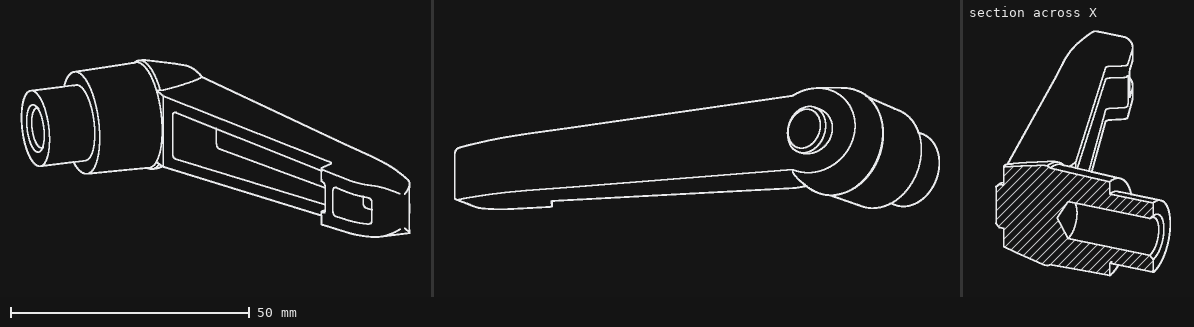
import cadquery as cq
import math


spigot_radius = 8.0
spigot_length = 10.2
sleeve_bottom_radius = 10.8
sleeve_top_radius = 11.15
sleeve_mid_radius = 10.95
collar_radius = 11.5
collar_bottom = 24.15
collar_bevel_top = 24.85
collar_top = 25.7
dome_mid_radius = 10.75
dome_mid_height = 29.2
dome_top_radius = 8.6
dome_top = 37.0

bore_radius = 8.38 / 2
bore_mouth_radius = 5.0
bore_depth = 20.0
drill_tip_angle = 118.0
pin_radius = 5.0
pin_top = 37.0
pin_bevel = 0.8

top_slope = math.tan(math.radians(15.0))
top_height_at_axis = 35.15
under_slope = math.tan(math.radians(20.0))
under_height_at_axis = 19.85
foot_height_at_axis = 15.2
step_upper_x = 61.9
step_lower_x = 64.3
step_round = 1.0
foot_end_x = 72.9
crown_start_x = 52.0
crown_peak_x = 73.8
crown_peak_y = 53.48
tip_x = 80.0
tip_y = 51.0

arm_half_width_at_axis = 8.2
arm_half_width_at_tip = 5.6
tip_corner_radius = 2.3

pocket_corner_radius = 0.9
cut_length = 30.0


def top_line(x):
    """Height of the straight upper face of the arm."""
    return top_height_at_axis + top_slope * x


def under_line(x):
    """Height of the straight underside of the arm."""
    return under_height_at_axis + under_slope * x


def foot_line(x):
    """Height of the underside of the finger rest beyond the step."""
    return foot_height_at_axis + under_slope * x


def make_hub():
    hub = (
        cq.Workplane("XY")
        .lineTo(spigot_radius, 0)
        .lineTo(spigot_radius, spigot_length)
        .lineTo(sleeve_bottom_radius, spigot_length)
        .threePointArc(
            (sleeve_mid_radius, (spigot_length + collar_bottom) / 2),
            (sleeve_top_radius, collar_bottom),
        )
        .lineTo(collar_radius, collar_bevel_top)
        .lineTo(collar_radius, collar_top)
        .threePointArc((dome_mid_radius, dome_mid_height), (dome_top_radius, dome_top))
        .lineTo(0, dome_top)
        .close()
        .revolve(360, (0, 0, 0), (0, 1, 0))
    )
    reach = 2 * collar_radius
    above_slice = (
        cq.Workplane("XY")
        .moveTo(-reach, top_line(-reach))
        .lineTo(reach, top_line(reach))
        .lineTo(-reach, top_line(reach))
        .close()
        .extrude(reach, both=True)
    )
    return hub.cut(above_slice)


def make_pin():
    return (
        cq.Workplane("XZ", origin=(0, collar_top, 0))
        .circle(pin_radius)
        .extrude(collar_top - pin_top)
        .faces(">Y")
        .chamfer(pin_bevel)
    )


def make_bore():
    mouth_depth = bore_mouth_radius - bore_radius
    drill_tip = bore_radius / math.tan(math.radians(drill_tip_angle / 2))
    return (
        cq.Workplane("XY")
        .lineTo(bore_mouth_radius, 0)
        .lineTo(bore_radius, mouth_depth)
        .lineTo(bore_radius, bore_depth)
        .lineTo(0, bore_depth + drill_tip)
        .close()
        .revolve(360, (0, 0, 0), (0, 1, 0))
    )


def make_arm():
    under_start_x = (collar_bottom - under_height_at_axis) / under_slope
    profile = (
        cq.Workplane("XY")
        .moveTo(0, collar_bottom)
        .lineTo(under_start_x, collar_bottom)
        .lineTo(step_upper_x, under_line(step_upper_x))
        .lineTo(step_lower_x, foot_line(step_lower_x))
        .lineTo(foot_end_x, foot_line(foot_end_x))
        .tangentArcPoint((tip_x, tip_y), relative=False)
        .spline([(crown_peak_x, crown_peak_y)], tangents=[(0, 1), (-1, 0)], includeCurrent=True)
        .spline(
            [(crown_start_x, top_line(crown_start_x))],
            tangents=[(-1, 0), (-1, -top_slope)],
            includeCurrent=True,
        )
        .lineTo(0, top_line(0))
        .close()
        .extrude(collar_radius, both=True)
    )
    step_edges = [
        cq.selectors.BoxSelector(
            (x - step_round / 2, y - step_round / 2, -2 * collar_radius),
            (x + step_round / 2, y + step_round / 2, 2 * collar_radius),
        )
        for x, y in (
            (step_upper_x, under_line(step_upper_x)),
            (step_lower_x, foot_line(step_lower_x)),
        )
    ]
    profile = profile.edges(step_edges[0] + step_edges[1]).edges("|Z").fillet(step_round)

    plan = (
        cq.Workplane("XZ")
        .polyline(
            [
                (0, -arm_half_width_at_axis),
                (tip_x, -arm_half_width_at_tip),
                (tip_x, arm_half_width_at_tip),
                (0, arm_half_width_at_axis),
            ]
        )
        .close()
        .extrude(-2 * crown_peak_y)
        .edges("|Y and >X")
        .fillet(tip_corner_radius)
    )
    return profile.intersect(plan)


def make_pocket(floor_end, lean_angle, length, start_half_width, end_half_width):
    """Tapered pocket whose floor ends at floor_end and rises toward +X at lean_angle."""
    cos_lean = math.cos(math.radians(lean_angle))
    sin_lean = math.sin(math.radians(lean_angle))
    floor_plane = cq.Plane(
        origin=(floor_end[0], floor_end[1], 0),
        xDir=(cos_lean, sin_lean, 0),
        normal=(sin_lean, -cos_lean, 0),
    )
    return (
        cq.Workplane(floor_plane)
        .polyline(
            [
                (-length, -start_half_width),
                (0, -end_half_width),
                (0, end_half_width),
                (-length, start_half_width),
            ]
        )
        .close()
        .extrude(cut_length)
        .edges(cq.selectors.ParallelDirSelector(floor_plane.zDir))
        .fillet(pocket_corner_radius)
    )


main_pocket = make_pocket(
    floor_end=(62.95, 50.0), lean_angle=15.0, length=53.2, start_half_width=5.15, end_half_width=3.4
)
tip_pocket = make_pocket(
    floor_end=(75.2, 51.6), lean_angle=20.0, length=10.6, start_half_width=3.2, end_half_width=2.9
)

arm = make_arm().cut(main_pocket).cut(tip_pocket)
result = make_hub().union(make_pin()).union(arm).cut(make_bore())